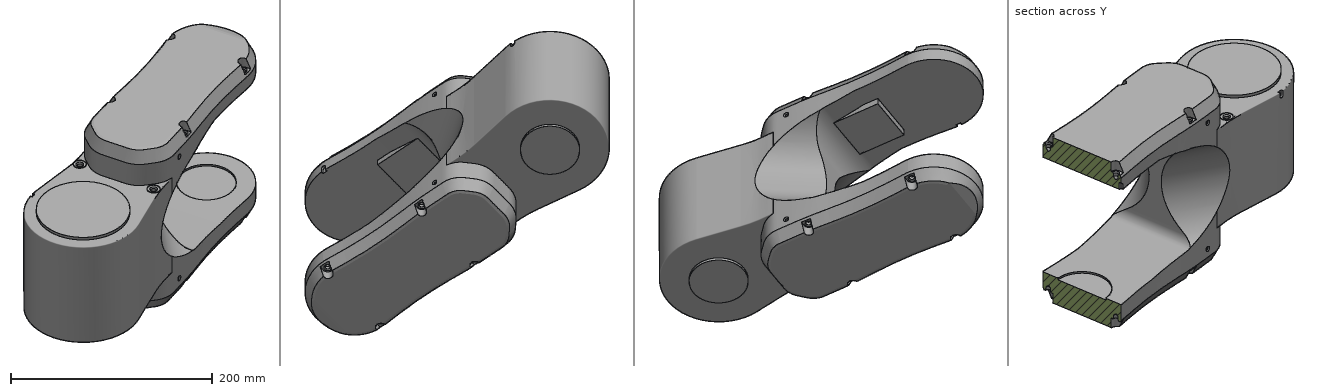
import cadquery as cq
import math


FORK_HALF_HEIGHT = 99.0
FORK_HALF_WIDTH = 49.0
TIP_Y = 250.0
TAIL_Y = 61.9
TAIL_FLAT_HALF = 12.4
CORNER_RADIUS = 30.0
CORNER_TOP_Y = 98.0
WAIST_HALF_WIDTH = 46.0
WAIST_Y = 190.6
WAIST_HALF_SPAN = 35.1
WAIST_END_HALF_WIDTH = 47.3
TIP_BLEND_Y = 240.8
ROOT_BLEND_Y = 149.9
ROOT_STRAIGHT_Y = 115.0
TIP_BLEND_HALF_WIDTH = 48.5
ROOT_BLEND_HALF_WIDTH = 47.7

BEVEL_HEIGHT = 14.0
BEVEL_WIDTH = 7.0
RIM_HEIGHT = 1.0
RIM_WIDTH = 2.6
TIP_SLANT_PROFILE = [(280.2, 99.0), (283.8, 98.2), (295.3, 93.7), (303.0, 90.7)]

MOUTH_Y = 130.0
MOUTH_TOP_Z = 70.0
MOUTH_BOTTOM_Z = -66.2
MOUTH_TOP_RADIUS = 28.0
MOUTH_BOTTOM_RADIUS = 12.0
FLOOR_RAMP_END_Y = 195.5
FLOOR_RAMP_ANGLE = 6.0
CEILING_RAMP_END_Y = 184.0
CEILING_RAMP_ANGLE = 12.0
CEILING_PAD_Z = 62.3
CEILING_PAD_END_Y = 200.0
CEILING_PAD_HALF_WIDTH = 25.0
SCOOP_RADIUS = 65.6
SCOOP_ANGLE = 54.7
SCOOP_START_Y = 71.5
SCOOP_ARC_ANGLE = 71.5
SCOOP_REACH = 120.0
SCOOP_LENGTH = 300.0

DRUM_RADIUS = 59.0
DRUM_HALF_HEIGHT = 59.0
DRUM_EDGE_FILLET = 1.0
TAPER_ANGLE = 9.4
TAPER_END_Y = 56.1
NECK_HALF_WIDTH = 48.8
NECK_BLEND_Y = 86.4
NECK_END_Y = 93.0
TOP_DISC_RADIUS = 46.6
BOTTOM_DISC_RADIUS = 29.4
DISC_HEIGHT = 3.2
FLOOR_RECESS_RADIUS = 29.6
FLOOR_RECESS_DEPTH = 2.0

SCREW_X = 42.0
POCKET_FLOOR_Z = 87.7
TIP_POCKET_RADIUS = 5.4
ROOT_POCKET_Y = 130.0
ROOT_POCKET_RADIUS = 4.9
NECK_SCREW_Y = 68.0
NECK_SEAT_RADIUS = 6.5
NECK_SEAT_DEPTH = 0.5
SCREW_SINK_RADIUS = 3.8
SCREW_HOLE_RADIUS = 2.6
SCREW_HOLE_DEPTH = 5.0
SIDE_HOLE_Y = 108.0
SIDE_HOLE_Z = 75.2
SIDE_SINK_RADIUS = 2.8
SIDE_HOLE_RADIUS = 1.6
SIDE_HOLE_DEPTH = 4.0
MARK_WIDTH = 5.0
MARK_DEPTH = 2.5
DRUM_MARK_LENGTH = 7.0
TIP_MARK_LENGTH = 8.0

CUT_MARGIN = 10.0


def block(x_limits, y_limits, z_limits):
    """Box between the given limits."""
    corner = cq.Vector(x_limits[0], y_limits[0], z_limits[0])
    sizes = [high - low for low, high in (x_limits, y_limits, z_limits)]
    return cq.Workplane(cq.Solid.makeBox(*sizes, pnt=corner))


def cylinder(radius, height, base, direction):
    """Cylinder rising from the base point along a direction."""
    return cq.Workplane(
        cq.Solid.makeCylinder(radius, height, cq.Vector(*base), cq.Vector(*direction))
    )


def side_profile(points):
    """Prism of a (Y, Z) polygon, running across the whole fork width."""
    half = FORK_HALF_WIDTH + CUT_MARGIN
    return cq.Workplane("YZ").polyline(points).close().extrude(half, both=True)


def conical_hole(point, direction, sink_radius, radius, depth):
    """Countersunk hole with a 45 degree sink and a 45 degree drill point."""
    sink = sink_radius - radius
    profile = [
        (0, 0),
        (sink_radius, 0),
        (radius, -sink),
        (radius, -depth),
        (0, -depth - radius),
    ]
    turned = cq.Workplane("XZ").polyline(profile).close().revolve(360, (0, 0, 0), (0, 1, 0)).val()
    plane = cq.Plane(origin=point, xDir=(0, 1, 0), normal=direction)
    return cq.Workplane(turned.moved(cq.Location(plane)))


def fork_blank():
    """Waisted fork outline at full height, with square edges."""
    half_diagonal = CORNER_RADIUS * math.sqrt(0.5)
    corner_drop = CORNER_RADIUS - half_diagonal
    upper_corner = (FORK_HALF_WIDTH - corner_drop, CORNER_TOP_Y - half_diagonal)
    lower_corner = (TAIL_FLAT_HALF + half_diagonal, TAIL_Y + corner_drop)
    tip_diagonal = FORK_HALF_WIDTH * math.sqrt(0.5)
    outline = (
        cq.Workplane("XY", origin=(0, 0, -FORK_HALF_HEIGHT))
        .moveTo(0, TAIL_Y)
        .lineTo(TAIL_FLAT_HALF, TAIL_Y)
        .tangentArcPoint(lower_corner, relative=False)
        .lineTo(*upper_corner)
        .tangentArcPoint((FORK_HALF_WIDTH, CORNER_TOP_Y), relative=False)
        .lineTo(FORK_HALF_WIDTH, ROOT_STRAIGHT_Y)
        .tangentArcPoint((ROOT_BLEND_HALF_WIDTH, ROOT_BLEND_Y), relative=False)
        .lineTo(WAIST_END_HALF_WIDTH, WAIST_Y - WAIST_HALF_SPAN)
        .threePointArc(
            (WAIST_HALF_WIDTH, WAIST_Y),
            (WAIST_END_HALF_WIDTH, WAIST_Y + WAIST_HALF_SPAN),
        )
        .lineTo(TIP_BLEND_HALF_WIDTH, TIP_BLEND_Y)
        .tangentArcPoint((FORK_HALF_WIDTH, TIP_Y), relative=False)
        .threePointArc((tip_diagonal, TIP_Y + tip_diagonal), (0, TIP_Y + FORK_HALF_WIDTH))
        .mirrorY()
    )
    return outline.extrude(2 * FORK_HALF_HEIGHT)


def bevel_fork(blank):
    """Bevel the outer faces all round, then plane the tip off at a shallow slant."""
    bevelled = blank
    for face in (">Z", "<Z"):
        bevelled = bevelled.faces(face).chamfer(BEVEL_HEIGHT, BEVEL_WIDTH)
        bevelled = bevelled.faces(face).chamfer(RIM_HEIGHT, RIM_WIDTH)
    slant = side_profile(TIP_SLANT_PROFILE + [(TIP_SLANT_PROFILE[-1][0], FORK_HALF_HEIGHT)])
    return bevelled.cut(slant).cut(slant.mirror("XY"))


def floor_height(y):
    """Height of the sloping mouth floor."""
    return MOUTH_BOTTOM_Z + (FLOOR_RAMP_END_Y - y) * math.tan(math.radians(FLOOR_RAMP_ANGLE))


def ceiling_height(y):
    """Height of the sloping mouth ceiling."""
    return MOUTH_TOP_Z - (CEILING_RAMP_END_Y - y) * math.tan(math.radians(CEILING_RAMP_ANGLE))


def ceiling_pad():
    """Flat pad left hanging from the middle of the mouth ceiling."""
    return block(
        (-CEILING_PAD_HALF_WIDTH, CEILING_PAD_HALF_WIDTH),
        (MOUTH_Y, CEILING_PAD_END_Y),
        (CEILING_PAD_Z, MOUTH_TOP_Z),
    )


def mouth_cutter():
    """Space between the arms: rounded back corners, sloping floor and ceiling, ceiling pad."""
    open_end = TIP_Y + FORK_HALF_WIDTH + CUT_MARGIN
    back_ceiling_z = ceiling_height(MOUTH_Y)
    back_floor_z = floor_height(MOUTH_Y)
    cutter = side_profile([
        (MOUTH_Y, back_ceiling_z),
        (CEILING_RAMP_END_Y, MOUTH_TOP_Z),
        (open_end, MOUTH_TOP_Z),
        (open_end, MOUTH_BOTTOM_Z),
        (FLOOR_RAMP_END_Y, MOUTH_BOTTOM_Z),
        (MOUTH_Y, back_floor_z),
    ])
    for corner_z, radius in (
        (back_ceiling_z, MOUTH_TOP_RADIUS),
        (back_floor_z, MOUTH_BOTTOM_RADIUS),
    ):
        corner = cq.selectors.NearestToPointSelector((0, MOUTH_Y, corner_z))
        cutter = cutter.edges(corner).fillet(radius)
    return cutter.cut(ceiling_pad())


def scoop_cutter():
    """Oblique cut on the -X side of the web, leaving the slopes and the pad untouched."""
    angle = math.radians(SCOOP_ANGLE)
    arc_angle = math.radians(SCOOP_ARC_ANGLE)
    plane = cq.Plane(
        origin=(-FORK_HALF_WIDTH, SCOOP_START_Y, 0),
        xDir=(-math.sin(angle), math.cos(angle), 0),
        normal=(math.cos(angle), math.sin(angle), 0),
    )
    arc_x = SCOOP_RADIUS * (1 - math.cos(arc_angle))
    arc_z = SCOOP_RADIUS * math.sin(arc_angle)
    top_x = arc_x + (MOUTH_TOP_Z - arc_z) * math.tan(arc_angle)
    bottom_x = arc_x + (-MOUTH_BOTTOM_Z - arc_z) * math.tan(arc_angle)
    scoop = (
        cq.Workplane(plane)
        .moveTo(arc_x, -arc_z)
        .threePointArc((0, 0), (arc_x, arc_z))
        .lineTo(top_x, MOUTH_TOP_Z)
        .lineTo(SCOOP_REACH, MOUTH_TOP_Z)
        .lineTo(SCOOP_REACH, MOUTH_BOTTOM_Z)
        .lineTo(bottom_x, MOUTH_BOTTOM_Z)
        .close()
        .extrude(SCOOP_LENGTH / 2, both=True)
    )
    ramp_start = MOUTH_Y - CUT_MARGIN
    floor_ramp = side_profile([
        (FLOOR_RAMP_END_Y, MOUTH_BOTTOM_Z),
        (ramp_start, floor_height(ramp_start)),
        (ramp_start, MOUTH_BOTTOM_Z),
    ])
    ceiling_ramp = side_profile([
        (CEILING_RAMP_END_Y, MOUTH_TOP_Z),
        (ramp_start, ceiling_height(ramp_start)),
        (ramp_start, MOUTH_TOP_Z),
    ])
    return scoop.cut(floor_ramp).cut(ceiling_ramp).cut(ceiling_pad())


def drum_and_neck():
    """Drum with tapered flanks that blend into the parallel neck, plus its end discs."""
    taper = math.radians(TAPER_ANGLE)
    tangent = (DRUM_RADIUS * math.cos(taper), DRUM_RADIUS * math.sin(taper))
    taper_end_x = tangent[0] - (TAPER_END_Y - tangent[1]) * math.tan(taper)
    drum = (
        cq.Workplane("XY", origin=(0, 0, -DRUM_HALF_HEIGHT))
        .moveTo(0, -DRUM_RADIUS)
        .threePointArc((DRUM_RADIUS, 0), tangent)
        .lineTo(taper_end_x, TAPER_END_Y)
        .tangentArcPoint((NECK_HALF_WIDTH, NECK_BLEND_Y), relative=False)
        .lineTo(NECK_HALF_WIDTH, NECK_END_Y)
        .lineTo(0, NECK_END_Y)
        .mirrorY()
        .extrude(2 * DRUM_HALF_HEIGHT)
        .faces("<Z or >Z")
        .edges()
        .fillet(DRUM_EDGE_FILLET)
    )
    top_disc = cylinder(TOP_DISC_RADIUS, DISC_HEIGHT, (0, 0, DRUM_HALF_HEIGHT), (0, 0, 1))
    bottom_disc = cylinder(BOTTOM_DISC_RADIUS, DISC_HEIGHT, (0, 0, -DRUM_HALF_HEIGHT), (0, 0, -1))
    body = drum.union(top_disc).union(bottom_disc)
    for side in (-1, 1):
        body = cut_neck_screw(body, side * SCREW_X)
    return body


def cut_neck_screw(body, x):
    """Shallow round seat with a countersunk hole in the top of the neck."""
    seat_z = DRUM_HALF_HEIGHT - NECK_SEAT_DEPTH
    seat = cylinder(NECK_SEAT_RADIUS, CUT_MARGIN, (x, NECK_SCREW_Y, seat_z), (0, 0, 1))
    hole = conical_hole(
        (x, NECK_SCREW_Y, seat_z),
        (0, 0, 1),
        SCREW_SINK_RADIUS,
        SCREW_HOLE_RADIUS,
        SCREW_HOLE_DEPTH,
    )
    return body.cut(seat).cut(hole)


def cut_screw_pocket(body, side, y, radius, face):
    """U-shaped pocket in a bevel, open to the side, with a countersunk hole in its floor."""
    x = side * SCREW_X
    z_limits = sorted((face * POCKET_FLOOR_Z, face * (FORK_HALF_HEIGHT + CUT_MARGIN)))
    x_limits = sorted((x, side * (FORK_HALF_WIDTH + CUT_MARGIN)))
    floor_point = (x, y, face * POCKET_FLOOR_Z)
    outward = (0, 0, face)
    round_end = cylinder(radius, z_limits[1] - z_limits[0], floor_point, outward)
    opening = block(x_limits, (y - radius, y + radius), z_limits)
    hole = conical_hole(
        floor_point,
        outward,
        SCREW_SINK_RADIUS,
        SCREW_HOLE_RADIUS,
        SCREW_HOLE_DEPTH,
    )
    return body.cut(round_end).cut(opening).cut(hole)


def cut_side_hole(body, side, z):
    """Small countersunk hole in the flank of the fork root."""
    hole = conical_hole(
        (side * FORK_HALF_WIDTH, SIDE_HOLE_Y, z),
        (side, 0, 0),
        SIDE_SINK_RADIUS,
        SIDE_HOLE_RADIUS,
        SIDE_HOLE_DEPTH,
    )
    return body.cut(hole)


def cut_alignment_mark(body, surface_x, y, edge_z, length, upward):
    """Round-ended notch on the -X flank, running from an edge up or down."""
    half_width = MARK_WIDTH / 2
    end_z = edge_z + upward * (length - half_width)
    start_z = edge_z - upward * CUT_MARGIN / 2
    x_limits = (surface_x - CUT_MARGIN, surface_x + MARK_DEPTH)
    straight = block(x_limits, (y - half_width, y + half_width), sorted((start_z, end_z)))
    rounded = cylinder(
        half_width, x_limits[1] - x_limits[0], (x_limits[0], y, end_z), (1, 0, 0)
    )
    return body.cut(straight).cut(rounded)


fork = bevel_fork(fork_blank())
for side in (-1, 1):
    for face in (-1, 1):
        fork = cut_screw_pocket(fork, side, TIP_Y, TIP_POCKET_RADIUS, face)
        fork = cut_screw_pocket(fork, side, ROOT_POCKET_Y, ROOT_POCKET_RADIUS, face)
        fork = cut_side_hole(fork, side, face * SIDE_HOLE_Z)

floor_recess = cylinder(
    FLOOR_RECESS_RADIUS, FLOOR_RECESS_DEPTH, (0, TIP_Y, MOUTH_BOTTOM_Z), (0, 0, -1)
)
scoop = scoop_cutter()
link = drum_and_neck().union(fork)
link = link.cut(mouth_cutter()).cut(scoop).cut(scoop.mirror("YZ")).cut(floor_recess)
link = cut_alignment_mark(
    link, -DRUM_RADIUS, 0, DRUM_HALF_HEIGHT, DRUM_MARK_LENGTH, upward=-1
)
link = cut_alignment_mark(
    link, -FORK_HALF_WIDTH, TIP_Y, MOUTH_TOP_Z, TIP_MARK_LENGTH, upward=1
)
result = link.clean()